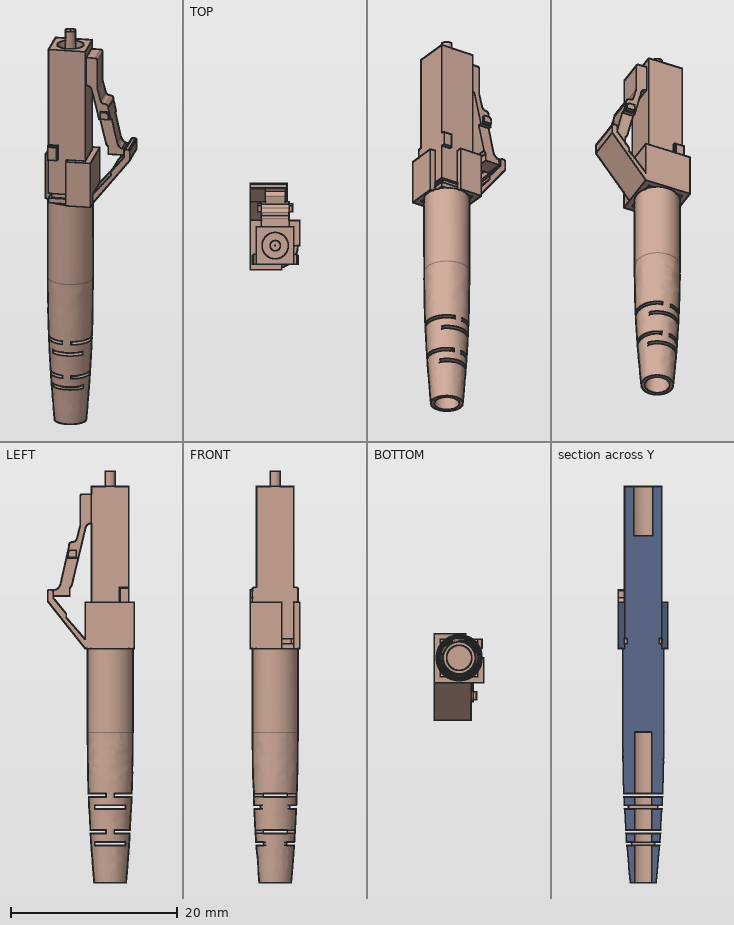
import cadquery as cq

OVERALL_HEIGHT = 49.35
EPSILON = 0.5

BOOT_DIAMETER = 5.5
BOOT_TIP_DIAMETER = 3.85
BOOT_TAPER_TOP = 18.05
BOOT_TOP = 28.1
BOOT_BORE = 3.0
BOOT_RADIUS = BOOT_DIAMETER / 2

SLOT_HEIGHT = 0.4
SLOT_PITCH = 4.4
SLOT_PAIRS = 2
BRIDGE_SLOT_Z = 6.1
BRIDGE_WIDTH = 1.05
WINDOW_SLOT_Z = 4.7
WINDOW_WIDTH = 3.65

HOUSING_SIDE = 4.5
HALF_HOUSING = HOUSING_SIDE / 2
HOUSING_TOP = 47.5
HOUSING_BORE = 3.15
HOUSING_BORE_DEPTH = 5.9
GROOVE_BOTTOM = 28.65
GROOVE_HEIGHT = 0.6
NECK_SIDE = 3.85

FERRULE_DIAMETER = 1.25
FIBRE_DIAMETER = 0.065

CLIP_WIDTH = 5.95
CLIP_DEPTH = 5.9
CLIP_LEFT = -3.0
CLIP_RIGHT = CLIP_LEFT + CLIP_WIDTH
CLIP_FRONT = -2.9
CLIP_BACK = CLIP_FRONT + CLIP_DEPTH
CLIP_BOTTOM = BOOT_TOP
CLIP_HEIGHT = 5.6
CLIP_TOP = CLIP_BOTTOM + CLIP_HEIGHT
CLIP_FRONT_END = 0.8
CLIP_SIDE_END = 0.0

STOP_WIDTH = 5.5
STOP_DEPTH = 1.2
STOP_HEIGHT = 1.8
STOP_CHAMFER = 0.15

LATCH_WIDTH = 3.3
LATCH_CREST = 3.6
LATCH_TOP = 46.6
LATCH_CORNER = 0.3
TAIL_WIDTH = 2.35
TAIL_TOP = 38.9
TAIL_BOTTOM = 34.35

KNEE_TOP = (LATCH_CREST, 42.8)
SHOULDER_START = (4.0, 41.25)
SHOULDER_MIDDLE = (4.2, 40.95)
SHOULDER_END = (4.55, 40.85)
SHOULDER_CORNER_MIDDLE = (4.85, 40.7)
SHOULDER_CORNER_END = (4.95, 40.35)
HEEL_START = (5.9, 36.0)
HEEL_MIDDLE = (6.1, 35.5)
HEEL_END_Y = 6.5
TAIL_INNER = 4.85
TAIL_INNER_TOP = 35.3
ARM_FOOT = (4.6, 35.65)
ARM_HEAD = (2.9, 42.65)
ROOT_MIDDLE = (2.65, 42.95)
ROOT_BOTTOM = 43.1

LATCH_LUG_WIDTH = 4.15
LATCH_LUG_BOTTOM = 39.05
LATCH_LUG_HEIGHT = 0.85
LATCH_LUG_INNER = 4.05
LATCH_LUG_OUTER = 5.05
LATCH_LUG_CHAMFER = 0.25

TRIGGER_REACH = 7.5
TRIGGER_LIP = 0.7
TRIGGER_TOP = 35.15
TRIGGER_WIDTH = 4.45
TRIGGER_CHAMFER = 0.15
TRIGGER_INNER = TRIGGER_REACH - TRIGGER_LIP
TRIGGER_LIP_FOOT = 33.75
TRIGGER_INNER_FOOT = 34.15
TRIGGER_STEP_Y = 5.25
TRIGGER_STEP_TOP = 32.25
TRIGGER_STEP_BOTTOM = 31.8
TRIGGER_CROTCH = 29.2


def block(x_range, y_range, z_range):
    """Axis-aligned box given by its lower and upper limits."""
    sizes = [high - low for low, high in (x_range, y_range, z_range)]
    corner = (x_range[0], y_range[0], z_range[0])
    return cq.Workplane("XY").box(*sizes, centered=False).translate(corner)


def square_post(side, bottom, top):
    return cq.Workplane("XY").workplane(offset=bottom).rect(side, side).extrude(top - bottom)


def rod(diameter, bottom, top):
    return cq.Workplane("XY").workplane(offset=bottom).circle(diameter / 2).extrude(top - bottom)


def make_boot():
    """Round boot whose lower part narrows along an arc tangent to the straight part."""
    boot = (
        cq.Workplane("XZ")
        .moveTo(0, 0)
        .lineTo(0, BOOT_TOP)
        .lineTo(BOOT_RADIUS, BOOT_TOP)
        .lineTo(BOOT_RADIUS, BOOT_TAPER_TOP)
        .tangentArcPoint((BOOT_TIP_DIAMETER / 2, 0), relative=False)
        .close()
        .revolve(360, (0, 0, 0), (0, 1, 0))
    )
    boot = boot.cut(rod(BOOT_BORE, 0, BOOT_TAPER_TOP))
    for pair in range(SLOT_PAIRS):
        boot = boot.cut(make_bridge_slot(BRIDGE_SLOT_Z + pair * SLOT_PITCH))
        boot = boot.cut(make_window_slot(WINDOW_SLOT_Z + pair * SLOT_PITCH))
    return boot


def make_bridge_slot(z):
    """Slot from +Y and -Y that leaves a bridge on the +X and -X sides."""
    slot = cq.Workplane("XY").box(2 * BOOT_DIAMETER, 2 * BOOT_DIAMETER, SLOT_HEIGHT)
    bridge = cq.Workplane("XY").box(2 * BOOT_DIAMETER, BRIDGE_WIDTH, SLOT_HEIGHT)
    return slot.cut(bridge).translate((0, 0, z))


def make_window_slot(z):
    """Slot straight through along X that leaves a segment on the +Y and -Y sides."""
    return cq.Workplane("XY").box(2 * BOOT_DIAMETER, WINDOW_WIDTH, SLOT_HEIGHT).translate((0, 0, z))


def make_housing():
    """Square housing with a groove near its foot and a round bore at its top."""
    groove_top = GROOVE_BOTTOM + GROOVE_HEIGHT
    flange = square_post(HOUSING_SIDE, BOOT_TOP, GROOVE_BOTTOM)
    neck = square_post(NECK_SIDE, GROOVE_BOTTOM, groove_top)
    shaft = square_post(HOUSING_SIDE, groove_top, HOUSING_TOP)
    bore = rod(HOUSING_BORE, HOUSING_TOP - HOUSING_BORE_DEPTH, HOUSING_TOP)
    return flange.union(neck).union(shaft).cut(bore)


def make_stop():
    """Stop lug on the -X side, flush with the -Y face of the housing."""
    stop = block(
        (-STOP_WIDTH / 2, -HALF_HOUSING),
        (-HALF_HOUSING, -HALF_HOUSING + STOP_DEPTH),
        (CLIP_TOP, CLIP_TOP + STOP_HEIGHT),
    )
    return stop.faces("<X").edges(">Z or >Y").chamfer(STOP_CHAMFER)


def make_latch():
    """Springy latch: root on the +Y face, sloping arm, and a narrower tail behind the trigger."""
    profile = (
        cq.Workplane("YZ")
        .moveTo(HALF_HOUSING, LATCH_TOP)
        .lineTo(LATCH_CREST - LATCH_CORNER, LATCH_TOP)
        .tangentArcPoint((LATCH_CREST, LATCH_TOP - LATCH_CORNER), relative=False)
        .lineTo(*KNEE_TOP)
        .lineTo(*SHOULDER_START)
        .threePointArc(SHOULDER_MIDDLE, SHOULDER_END)
        .threePointArc(SHOULDER_CORNER_MIDDLE, SHOULDER_CORNER_END)
        .lineTo(*HEEL_START)
        .threePointArc(HEEL_MIDDLE, (HEEL_END_Y, TRIGGER_TOP))
        .lineTo(TRIGGER_INNER, TRIGGER_TOP)
        .lineTo(TRIGGER_INNER, TAIL_BOTTOM)
        .lineTo(TAIL_INNER, TAIL_BOTTOM)
        .lineTo(TAIL_INNER, TAIL_INNER_TOP)
        .lineTo(*ARM_FOOT)
        .lineTo(*ARM_HEAD)
        .threePointArc(ROOT_MIDDLE, (HALF_HOUSING, ROOT_BOTTOM))
        .close()
    )
    arm = profile.extrude(LATCH_WIDTH / 2, both=True)
    for side in (-1, 1):
        x_range = sorted((side * TAIL_WIDTH / 2, side * LATCH_WIDTH))
        y_range = (HALF_HOUSING, TRIGGER_REACH)
        arm = arm.cut(block(x_range, y_range, (TAIL_BOTTOM - EPSILON, TAIL_TOP)))
    return arm.union(make_latch_lugs())


def make_latch_lugs():
    """Cross bar whose ends stand out on both sides of the latch arm."""
    half_width = LATCH_LUG_WIDTH / 2
    bar = block(
        (-half_width, half_width),
        (LATCH_LUG_INNER, LATCH_LUG_OUTER),
        (LATCH_LUG_BOTTOM, LATCH_LUG_BOTTOM + LATCH_LUG_HEIGHT),
    )
    return bar.edges(">Y and >Z").chamfer(LATCH_LUG_CHAMFER)


def make_connector():
    ferrule_root = HOUSING_TOP - HOUSING_BORE_DEPTH
    stop = make_stop()
    connector = make_boot().union(make_housing())
    connector = connector.union(stop).union(stop.mirror("YZ")).union(make_latch())
    connector = connector.union(rod(FERRULE_DIAMETER, ferrule_root, OVERALL_HEIGHT))
    return connector.cut(rod(FIBRE_DIAMETER, ferrule_root, OVERALL_HEIGHT))


def make_clip():
    """Collar around the housing, open at its +X -Y corner, with the trigger arm on its +Y side."""
    collar = block((CLIP_LEFT, CLIP_RIGHT), (CLIP_FRONT, CLIP_BACK), (CLIP_BOTTOM, CLIP_TOP))
    collar = collar.cut(square_post(HOUSING_SIDE, CLIP_BOTTOM, CLIP_TOP))
    open_corner = block(
        (CLIP_FRONT_END, CLIP_RIGHT),
        (CLIP_FRONT, CLIP_SIDE_END),
        (CLIP_BOTTOM, CLIP_TOP),
    )
    return collar.cut(open_corner).union(make_trigger())


def make_trigger():
    """Sloping arm that rises from the foot of the collar to a lip behind the latch tail."""
    profile = (
        cq.Workplane("YZ", origin=(CLIP_LEFT, 0, 0))
        .moveTo(CLIP_BACK, CLIP_BOTTOM)
        .lineTo(TRIGGER_REACH, TRIGGER_LIP_FOOT)
        .lineTo(TRIGGER_REACH, TRIGGER_TOP)
        .lineTo(TRIGGER_INNER, TRIGGER_TOP)
        .lineTo(TRIGGER_INNER, TRIGGER_INNER_FOOT)
        .lineTo(TRIGGER_STEP_Y, TRIGGER_STEP_TOP)
        .lineTo(TRIGGER_STEP_Y, TRIGGER_STEP_BOTTOM)
        .lineTo(CLIP_BACK, TRIGGER_CROTCH)
        .close()
    )
    return profile.extrude(TRIGGER_WIDTH).faces(">Z").edges("|X").chamfer(TRIGGER_CHAMFER)


connector = make_connector()
clip = make_clip()
result = cq.Compound.makeCompound([connector.val(), clip.val()])